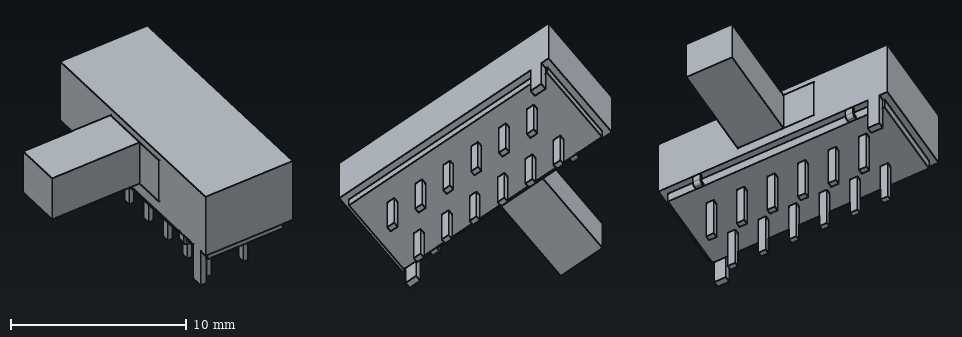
import cadquery as cq
import math


LENGTH = 15.0
DEPTH = 6.0
HOUSING_HEIGHT = 4.29
FRONT_Y = -DEPTH / 2

LEG_WIDTH = 0.76
LEG_THICKNESS = 0.4
LEG_LENGTH = 2.5
LEG_X = 6.6

BASE_HEIGHT = 0.7
BASE_INSET = LEG_THICKNESS
PINS_PER_ROW = 6
PIN_ROW_SPAN = 10.0
PIN_ROW_SPACING = 2.5
PIN_WIDTH = 0.5
PIN_THICKNESS = 0.33
PIN_LENGTH = 3.0

WINDOW_LEFT = -2.3
WINDOW_WIDTH = 5.0
WINDOW_TOP_MARGIN = 0.5
WINDOW_HEIGHT = 3.0
WINDOW_DEPTH = LEG_THICKNESS
WINDOW_BOTTOM = HOUSING_HEIGHT - WINDOW_TOP_MARGIN - WINDOW_HEIGHT

SLIDER_WIDTH = 3.0
SLIDER_LENGTH = 6.0

TAB_WIDTH = PIN_WIDTH
TAB_THICKNESS = 0.18
TAB_OUTER_RADIUS = 0.22
TAB_INNER_RADIUS = TAB_OUTER_RADIUS - TAB_THICKNESS


def block(x_min, y_min, z_min, x_size, y_size, z_size):
    """Box given by its lowest corner and its sizes."""
    return cq.Workplane("XY").box(x_size, y_size, z_size, centered=False).translate((x_min, y_min, z_min))


def make_window_plate():
    return block(WINDOW_LEFT, FRONT_Y, WINDOW_BOTTOM, WINDOW_WIDTH, WINDOW_DEPTH, WINDOW_HEIGHT)


def make_housing():
    body = block(-LENGTH / 2, FRONT_Y, 0, LENGTH, DEPTH, HOUSING_HEIGHT)
    leg_y_back = DEPTH / 2 - LEG_THICKNESS
    for leg_x, leg_y in ((LEG_X, FRONT_Y), (-LEG_X, leg_y_back)):
        leg = block(leg_x - LEG_WIDTH / 2, leg_y, -LEG_LENGTH, LEG_WIDTH, LEG_THICKNESS, LEG_LENGTH)
        body = body.union(leg)
    return body.cut(make_window_plate())


def make_base():
    """Base plate and its pins as one solid."""
    plate_length = LENGTH - 2 * BASE_INSET
    plate_depth = DEPTH - 2 * BASE_INSET
    pins = (
        cq.Workplane("XY", origin=(0, 0, -BASE_HEIGHT))
        .rarray(PIN_ROW_SPAN / (PINS_PER_ROW - 1), PIN_ROW_SPACING, PINS_PER_ROW, 2)
        .rect(PIN_WIDTH, PIN_THICKNESS)
        .extrude(-PIN_LENGTH)
    )
    plate = block(-plate_length / 2, -plate_depth / 2, -BASE_HEIGHT, plate_length, plate_depth, BASE_HEIGHT)
    return plate.union(pins)


def make_slider():
    return block(
        WINDOW_LEFT, FRONT_Y - SLIDER_LENGTH, WINDOW_BOTTOM, SLIDER_WIDTH, SLIDER_LENGTH, WINDOW_HEIGHT
    )


def make_tab(x_center):
    """L-shaped strip that runs down from the housing and bends back to the base."""
    inner_y = FRONT_Y + TAB_THICKNESS
    base_y = FRONT_Y + BASE_INSET
    bottom_z = -BASE_HEIGHT
    bend_y = FRONT_Y + TAB_OUTER_RADIUS
    bend_z = bottom_z + TAB_OUTER_RADIUS
    outer_mid = TAB_OUTER_RADIUS * math.sqrt(0.5)
    inner_mid = TAB_INNER_RADIUS * math.sqrt(0.5)
    return (
        cq.Workplane("YZ", origin=(x_center - TAB_WIDTH / 2, 0, 0))
        .moveTo(FRONT_Y, 0)
        .lineTo(FRONT_Y, bend_z)
        .threePointArc((bend_y - outer_mid, bend_z - outer_mid), (bend_y, bottom_z))
        .lineTo(base_y, bottom_z)
        .lineTo(base_y, bottom_z + TAB_THICKNESS)
        .lineTo(bend_y, bottom_z + TAB_THICKNESS)
        .threePointArc((bend_y - inner_mid, bend_z - inner_mid), (inner_y, bend_z))
        .lineTo(inner_y, 0)
        .close()
        .extrude(TAB_WIDTH)
    )


housing = make_housing()
base = make_base()
window_plate = make_window_plate()
slider = make_slider()
tabs = [make_tab(side * PIN_ROW_SPAN / 2) for side in (-1, 1)]

result = cq.Compound.makeCompound(
    [housing.val(), base.val(), window_plate.val(), slider.val(), *[tab.val() for tab in tabs]]
)